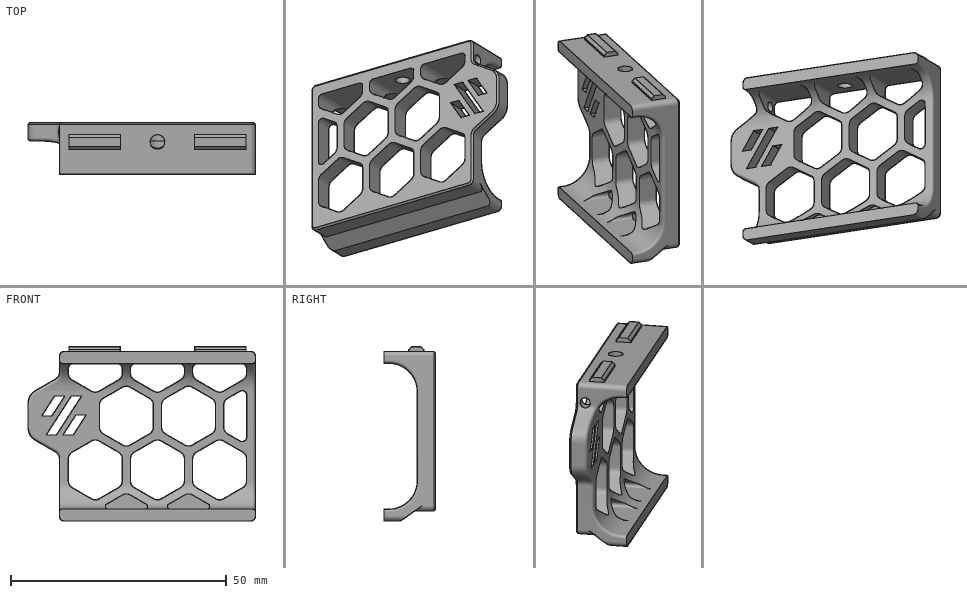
import cadquery as cq
import math


TOTAL_LENGTH = 52.9
FRAME_LENGTH = 45.6
FRAME_DEPTH = 12.0
FRAME_HEIGHT = 39.45
CORNER_RADIUS = 1.19
FRAME_LEFT = TOTAL_LENGTH - FRAME_LENGTH
FRAME_CENTER = (FRAME_LEFT + TOTAL_LENGTH) / 2

PLATE_THICKNESS = 4.3
FLANGE_THICKNESS = 2.8
CAVITY_RADIUS = 6.5
HEEL_RISE = 2.35
HEEL_SLOPE_START = 4.85
HEEL_SLOPE_END = 8.15
CAVITY_TOP = FRAME_HEIGHT - FLANGE_THICKNESS

TAB_CENTER_Z = 24.55
TAB_ROOT_HALF = 9.0
TAB_SLOPE = math.radians(30)
TAB_TIP_RADIUS = 3.5
TAB_ROOT_RADIUS = 1.7
TAB_TIP_HALF = TAB_ROOT_HALF - FRAME_LEFT * math.tan(TAB_SLOPE)

BACK_CHAMFER = 0.4
FRONT_FILLET = 0.7

HEX_WIDTH = 12.5
HEX_POINT_WIDTH = HEX_WIDTH / math.cos(math.radians(30))
HEX_PITCH = 14.45
HEX_CORNER_RADIUS = 1.8
CUT_CORNER_RADIUS = 1.05
POCKET_CORNER_RADIUS = 0.6
HEX_RIGHT_MARGIN = 2.05
HEX_TOP_MARGIN = 2.9
ROW_PITCH = HEX_PITCH * math.cos(math.radians(30))
LOWER_ROW_Z = 11.9
POCKET_WIDTH = 9.8
POCKET_BACK_WALL = 3.65
TOUCHING = 0.005

SLOT_WIDTH = 2.35
SLOT_HEIGHT = 9.0
SLOT_LEAN = 0.645
SLOT_CENTER_X = 8.35
SHORT_SLOT_HEIGHT = 4.6
SHORT_SLOT_SHIFT_X = 2.5
SHORT_SLOT_SHIFT_Z = (SLOT_HEIGHT - SHORT_SLOT_HEIGHT) / 2

RAIL_LENGTH = 11.95
RAIL_WIDTH = 3.5
RAIL_HEIGHT = 1.05
RAIL_CHAMFER = 0.7
RAIL_SPACING = 29.2
TOP_LINE_Y = -4.5
TOP_HOLE_DIAMETER = 3.4

SIDE_HOLE_DIAMETER = 2.4
SIDE_HOLE_Y = -2.2
SIDE_HOLE_Z = 34.9


def prism_along_y(sketch, y_front=-FRAME_DEPTH, y_back=0.0):
    """Extrude an X-Z outline from y_back to y_front."""
    return sketch.extrude(y_back - y_front).translate((0, y_back, 0))


def xz_plane():
    return cq.Workplane("XZ")


def box_between(x_min, x_max, y_min, y_max, z_min, z_max):
    size = (x_max - x_min, y_max - y_min, z_max - z_min)
    return cq.Workplane("XY").box(*size, centered=False).translate((x_min, y_min, z_min))


def front_outline(bottom):
    """Frame with its tab, full depth, with the frame's underside at the given height."""
    frame = box_between(FRAME_LEFT, TOTAL_LENGTH, -FRAME_DEPTH, 0, bottom, FRAME_HEIGHT)
    frame = frame.edges("|Y").fillet(CORNER_RADIUS)
    tab_points = [
        (FRAME_LEFT + CORNER_RADIUS, TAB_CENTER_Z + TAB_ROOT_HALF),
        (FRAME_LEFT, TAB_CENTER_Z + TAB_ROOT_HALF),
        (0, TAB_CENTER_Z + TAB_TIP_HALF),
        (0, TAB_CENTER_Z - TAB_TIP_HALF),
        (FRAME_LEFT, TAB_CENTER_Z - TAB_ROOT_HALF),
        (FRAME_LEFT + CORNER_RADIUS, TAB_CENTER_Z - TAB_ROOT_HALF),
    ]
    tab = prism_along_y(xz_plane().polyline(tab_points).close())
    tab = tab.edges("|Y and <X").fillet(TAB_TIP_RADIUS)
    outline = frame.union(tab)

    search_reach = CORNER_RADIUS / 2
    for side in (-1, 1):
        root_z = TAB_CENTER_Z + side * TAB_ROOT_HALF
        near_root = cq.selectors.BoxSelector(
            (FRAME_LEFT - search_reach, -FRAME_DEPTH, root_z - search_reach),
            (FRAME_LEFT + search_reach, 0, root_z + search_reach),
        )
        outline = outline.edges("|Y").edges(near_root).fillet(TAB_ROOT_RADIUS)
    return outline


def stepped_block():
    """Solid block whose underside steps down a slope from the plate to the lower flange."""
    slope = (HEEL_SLOPE_END - HEEL_SLOPE_START) / HEEL_RISE
    slope_top_y = -HEEL_SLOPE_END + slope * FRAME_HEIGHT
    behind_slope = (
        cq.Workplane("YZ")
        .polyline([(-HEEL_SLOPE_END, 0), (slope_top_y, FRAME_HEIGHT), (slope_top_y, 0)])
        .close()
        .extrude(TOTAL_LENGTH)
    )
    return front_outline(0).cut(behind_slope).union(front_outline(HEEL_RISE))


def cavity():
    """Space between the flanges, with rounded inner corners."""
    block = box_between(0, TOTAL_LENGTH, -FRAME_DEPTH, -PLATE_THICKNESS, FLANGE_THICKNESS, CAVITY_TOP)
    return block.edges("|X and >Y").fillet(CAVITY_RADIUS)


def hexagon_opening(x, z, y_back, limits, cut_corner_radius):
    """Rounded pointed-top hexagonal prism, cut off at (x_min, x_max, z_min, z_max).

    Corners made by the cut get their own radius.
    """
    x_min, x_max, z_min, z_max = limits
    hexagon = xz_plane().polygon(6, HEX_POINT_WIDTH)
    hexagon = prism_along_y(hexagon, y_back=y_back)
    hexagon = hexagon.rotate((0, 0, 0), (0, 1, 0), 30).translate((x, 0, z))
    hexagon = hexagon.edges("|Y").fillet(HEX_CORNER_RADIUS)
    window = box_between(x_min, x_max, -FRAME_DEPTH, 0, z_min, z_max)
    opening = hexagon.intersect(window)

    def lies_on_a_cut(edge):
        center = edge.Center()
        gaps = (center.x - x_min, center.x - x_max, center.z - z_min, center.z - z_max)
        return min(abs(gap) for gap in gaps) < TOUCHING

    cut_corners = opening.edges("|Y").filter(lies_on_a_cut)
    if cut_corners.size() == 0:
        return opening
    return cut_corners.fillet(cut_corner_radius)


def cut_honeycomb(body):
    """Three staggered rows of three through openings."""
    limits = (0, TOTAL_LENGTH - HEX_RIGHT_MARGIN, FLANGE_THICKNESS, FRAME_HEIGHT - HEX_TOP_MARGIN)
    for row in range(3):
        row_shift = (row % 2) * HEX_PITCH / 2
        z = LOWER_ROW_Z + row * ROW_PITCH
        for column in (-1, 0, 1):
            x = FRAME_CENTER + column * HEX_PITCH + row_shift
            opening = hexagon_opening(x, z, 0, limits, CUT_CORNER_RADIUS)
            body = body.cut(opening)
    return body


def cut_pockets(body):
    """Blind partial hexagons above the lower flange."""
    for side in (-1, 1):
        x = FRAME_CENTER + side * HEX_PITCH / 2
        limits = (x - POCKET_WIDTH / 2, x + POCKET_WIDTH / 2, FLANGE_THICKNESS, FRAME_HEIGHT)
        z = LOWER_ROW_Z - ROW_PITCH
        body = body.cut(hexagon_opening(x, z, -POCKET_BACK_WALL, limits, POCKET_CORNER_RADIUS))
    return body


def slanted_slot(x, z, height):
    """Parallelogram leaning to the right, with level ends."""
    half_run = SLOT_LEAN * height / 2
    half_width = SLOT_WIDTH / 2
    points = [
        (x - half_run - half_width, z - height / 2),
        (x - half_run + half_width, z - height / 2),
        (x + half_run + half_width, z + height / 2),
        (x + half_run - half_width, z + height / 2),
    ]
    return prism_along_y(xz_plane().polyline(points).close())


def cut_slots(body):
    """One long slot between two short ones, all through the tab."""
    body = body.cut(slanted_slot(SLOT_CENTER_X, TAB_CENTER_Z, SLOT_HEIGHT))
    for side in (-1, 1):
        x = SLOT_CENTER_X + side * SHORT_SLOT_SHIFT_X
        z = TAB_CENTER_Z - side * SHORT_SLOT_SHIFT_Z
        body = body.cut(slanted_slot(x, z, SHORT_SLOT_HEIGHT))
    return body


def cut_round_holes(body):
    """The top hole opens into the middle upper hexagon, the side hole into the left one."""
    top_hole = (
        cq.Workplane("XY", origin=(FRAME_CENTER, TOP_LINE_Y, FRAME_HEIGHT))
        .circle(TOP_HOLE_DIAMETER / 2)
        .extrude(-2 * FLANGE_THICKNESS)
    )
    side_hole = (
        cq.Workplane("YZ", origin=(0, SIDE_HOLE_Y, SIDE_HOLE_Z))
        .circle(SIDE_HOLE_DIAMETER / 2)
        .extrude(FRAME_CENTER - HEX_PITCH)
    )
    return body.cut(top_hole).cut(side_hole)


def rail(x):
    """Low bar on the top face with its long upper edges chamfered."""
    block = cq.Workplane("XY").box(RAIL_LENGTH, RAIL_WIDTH, RAIL_HEIGHT, centered=(True, True, False))
    block = block.edges(">Z and |X").chamfer(RAIL_CHAMFER)
    return block.translate((x, TOP_LINE_Y, FRAME_HEIGHT))


def round_cavity_sides(body):
    """Round the edges where the cavity runs out through the left and right sides."""
    margin = FRONT_FILLET / 2
    around_cavity = cq.selectors.BoxSelector(
        (-margin, -FRAME_DEPTH + margin, FLANGE_THICKNESS - margin),
        (TOTAL_LENGTH + margin, -PLATE_THICKNESS + margin, CAVITY_TOP + margin),
    )
    on_the_slope = cq.selectors.BoxSelector(
        (0, -PLATE_THICKNESS, 0),
        (TOTAL_LENGTH, 0, FLANGE_THICKNESS + margin),
    )
    return body.edges(around_cavity - on_the_slope).edges("not |X").fillet(FRONT_FILLET)


body = stepped_block()
body = body.faces(">Y").edges().chamfer(BACK_CHAMFER)
for side in (-1, 1):
    body = body.union(rail(FRAME_CENTER + side * RAIL_SPACING / 2))
body = body.cut(cavity())
body = round_cavity_sides(body)
body = cut_honeycomb(body)
body = cut_pockets(body)
body = cut_slots(body)
body = cut_round_holes(body)

result = body